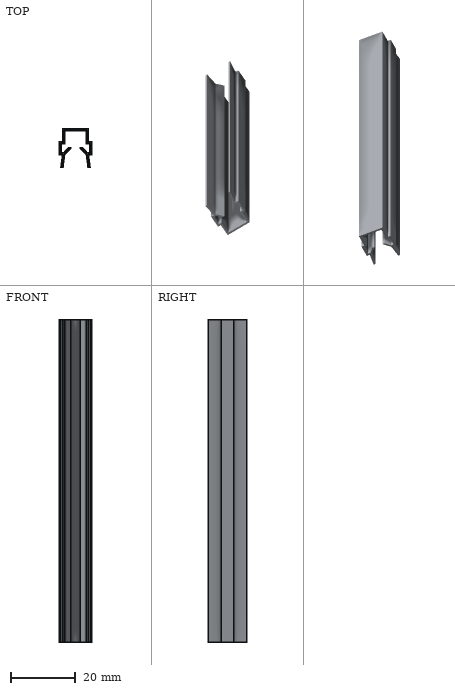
import cadquery as cq

length = 100.0
overall_width = 10.0
overall_depth = 12.0

wall = 0.6
half_width = overall_width / 2
channel_half_width = 4.0
back_y = overall_depth / 2
front_y = back_y - overall_depth

groove_top_y = back_y - 4.0
groove_bottom_y = back_y - 8.0

leg_splay = 0.5

lip_tip_x = 1.4
lip_bend_x = 2.1
lip_top_y = 0.15
lip_tip_height = 0.1
lip_root_x = 3.5

channel_inner_x = channel_half_width - wall
groove_inner_x = half_width - wall
groove_floor_y = groove_bottom_y + wall


def extrude_outline(points):
    """Prism of the full length over a closed outline in the XY plane."""
    return cq.Workplane("XY").polyline(points).close().extrude(length)


def half_channel():
    """Right half of the back, the stepped side wall and the splayed leg."""
    return extrude_outline([
        (0, back_y),
        (channel_half_width, back_y),
        (channel_half_width, groove_top_y),
        (half_width, groove_top_y),
        (half_width, groove_bottom_y),
        (channel_half_width, groove_bottom_y),
        (channel_half_width + leg_splay, front_y),
        (channel_inner_x + leg_splay, front_y),
        (channel_inner_x, groove_bottom_y),
        (channel_inner_x, groove_floor_y),
        (groove_inner_x, groove_floor_y),
        (groove_inner_x, groove_top_y - wall),
        (channel_inner_x, groove_top_y - wall),
        (channel_inner_x, back_y - wall),
        (0, back_y - wall),
    ])


def snap_lip():
    """Right snap lip, rising at about 45 degrees from the groove floor toward the middle."""
    return extrude_outline([
        (lip_root_x, groove_floor_y),
        (lip_bend_x, lip_top_y),
        (lip_tip_x, lip_top_y),
        (lip_tip_x, lip_top_y - lip_tip_height),
        (channel_inner_x, groove_bottom_y),
        (lip_root_x, groove_bottom_y),
    ])


right_half = half_channel().union(snap_lip())
result = right_half.union(right_half.mirror("YZ")).clean()